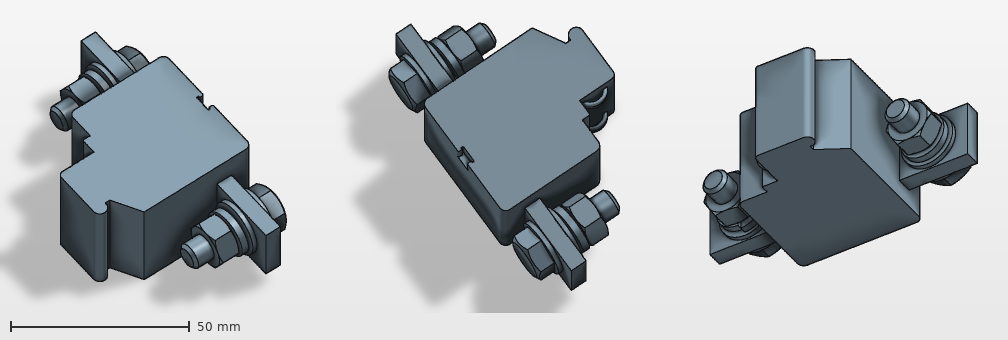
import cadquery as cq
import math


housing_width = 39.95
housing_height = 32.0
housing_depth = 49.0
housing_z_offset = 1.0
back_radius = 2.0
shoulder_y = -33.75
step_x = -10.2
step_y = -36.4
step_radius = 0.5
foot_x = -5.1
foot_radius = 1.5
slope_start_y = -37.8
slope_end_y = -42.9
hook_throat_x = 10.9
hook_tip_x = 13.4
hook_thickness = 4.4

groove_mouth = 4.25
groove_width = 5.35
groove_depth = 2.0
groove_lip = 1.4
groove_edge_radius = 0.4
groove_length = 5.1

wire_diameter = 1.4
ring_radius = 4.3
ring_center_x = -2.9
ring_center_y = -41.4
ring_pitch = 1.45
ring_pair_spacing = 22.3
ring_z_offset = 0.2

bar_length = 85.0
bar_height = 18.1
bar_thickness = 5.1
bar_back_y = -7.1

fastener_x = 30.0
shank_diameter = 8.0
shank_end_y = -30.4
shank_chamfer = 1.0
hex_flats = 13.0
head_top_diameter = 11.5
hex_chamfer_angle = 30.0
washer_diameter = 17.0
washer_thickness = 1.5
nut_thickness = 6.6
lock_outer_diameter = 14.8
lock_inner_diameter = 9.0
lock_thickness = 2.2
lock_gap = 3.6
lock_embed = 0.1
lock_start_angles = {-1: -90.0, 1: 180.0}

bar_front_y = bar_back_y - bar_thickness
head_front_y = bar_back_y + washer_thickness
lock_back_y = bar_front_y - washer_thickness
nut_back_y = lock_back_y - lock_gap
nut_front_y = nut_back_y - nut_thickness


def make_housing_block():
    """Extruded profile with the rail hook at its foot."""
    half_width = housing_width / 2
    hook_radius = hook_thickness / 2
    hook_center_x = hook_tip_x - hook_radius
    hook_back_y = -housing_depth + hook_thickness
    block = (
        cq.Workplane("XY")
        .workplane(offset=housing_z_offset - housing_height / 2)
        .moveTo(-half_width, 0)
        .lineTo(half_width, 0)
        .lineTo(half_width, slope_start_y)
        .lineTo(hook_throat_x, slope_end_y)
        .lineTo(hook_throat_x, hook_back_y)
        .lineTo(hook_center_x, hook_back_y)
        .threePointArc((hook_tip_x, hook_back_y - hook_radius), (hook_center_x, -housing_depth))
        .lineTo(foot_x, -housing_depth)
        .lineTo(foot_x, step_y)
        .lineTo(step_x, step_y)
        .lineTo(step_x, shoulder_y)
        .lineTo(-half_width, shoulder_y)
        .close()
        .extrude(housing_height)
    )
    rounded_corners = [
        (-half_width, 0, back_radius),
        (half_width, 0, back_radius),
        (-half_width, shoulder_y, back_radius),
        (step_x, step_y, step_radius),
        (foot_x, -housing_depth, foot_radius),
    ]
    for x, y, radius in rounded_corners:
        corner = cq.selectors.NearestToPointSelector((x, y, housing_z_offset))
        block = block.edges("|Z").edges(corner).fillet(radius)
    return block


def make_label_groove():
    """Undercut groove that opens on the back and the top and ends blind."""
    half_mouth = groove_mouth / 2
    half_width = groove_width / 2
    flared_half_mouth = half_mouth + groove_edge_radius
    top_z = housing_z_offset + housing_height / 2
    return (
        cq.Workplane("XY")
        .workplane(offset=top_z - groove_length)
        .moveTo(-flared_half_mouth, 0)
        .radiusArc((-half_mouth, -groove_edge_radius), groove_edge_radius)
        .lineTo(-half_mouth, -groove_lip)
        .lineTo(-half_width, -groove_lip)
        .lineTo(-half_width, -groove_depth)
        .lineTo(half_width, -groove_depth)
        .lineTo(half_width, -groove_lip)
        .lineTo(half_mouth, -groove_lip)
        .lineTo(half_mouth, -groove_edge_radius)
        .radiusArc((flared_half_mouth, 0), groove_edge_radius)
        .close()
        .extrude(groove_length)
    )


def make_ring(z):
    """Closed wire ring, mostly buried in the foot."""
    ring = cq.Solid.makeTorus(ring_radius, wire_diameter / 2, cq.Vector(ring_center_x, ring_center_y, z))
    return cq.Workplane(ring)


def make_bar():
    """Flat bar that stands out of both housing flanks."""
    bar_center_y = bar_back_y - bar_thickness / 2
    return cq.Workplane("XY").box(bar_length, bar_thickness, bar_height).translate((0, bar_center_y, 0))


def disc(diameter, back_y, length):
    """Cylinder on the fastener axis, running toward -Y from back_y."""
    return cq.Workplane("XZ", origin=(0, back_y, 0)).circle(diameter / 2).extrude(length)


def make_housing():
    """Housing block with its wire rings and the drilled contact bar moulded in."""
    housing = make_housing_block().cut(make_label_groove()).union(make_bar())
    for pair_side in (-1, 1):
        pair_z = ring_z_offset + pair_side * ring_pair_spacing / 2
        for ring_side in (-1, 1):
            housing = housing.union(make_ring(pair_z + ring_side * ring_pitch / 2))
    for side in (-1, 1):
        bolt_hole = disc(shank_diameter, bar_back_y, bar_thickness)
        housing = housing.cut(bolt_hole.translate((side * fastener_x, 0, 0)))
    return housing


def chamfer_cone(end_diameter, end_y, inward):
    """Solid of revolution that bounds a hexagon chamfered at end_y; inward is the Y sign into the hexagon."""
    flat_radius = end_diameter / 2
    reach = hex_flats
    drop = reach * math.tan(math.radians(hex_chamfer_angle))
    far_y = end_y + inward * (drop + hex_flats)
    return (
        cq.Workplane("XY")
        .moveTo(0, end_y)
        .lineTo(flat_radius, end_y)
        .lineTo(flat_radius + reach, end_y + inward * drop)
        .lineTo(flat_radius + reach, far_y)
        .lineTo(0, far_y)
        .close()
        .revolve(360, (0, 0, 0), (0, 1, 0))
    )


def hexagon(back_y, length, corner_angle):
    """Hexagonal prism toward -Y, with a corner at corner_angle from +X."""
    corner_diameter = hex_flats / math.cos(math.pi / 6)
    prism = cq.Workplane("XZ", origin=(0, back_y, 0)).polygon(6, corner_diameter).extrude(length)
    return prism.rotate((0, 0, 0), (0, 1, 0), corner_angle)


def make_lock_washer(start_angle):
    """One helical turn of rectangular section, from the flat washer to the nut."""
    mean_radius = (lock_outer_diameter + lock_inner_diameter) / 4
    section_width = (lock_outer_diameter - lock_inner_diameter) / 2
    pitch = lock_gap + 2 * lock_embed - lock_thickness
    helix = cq.Wire.makeHelix(pitch, pitch, mean_radius)
    turn = (
        cq.Workplane("XZ")
        .center(mean_radius, 0)
        .rect(section_width, lock_thickness)
        .sweep(cq.Workplane(helix), isFrenet=True)
    )
    start_y = lock_back_y + lock_embed - lock_thickness / 2
    return (
        turn.rotate((0, 0, 0), (0, 0, 1), start_angle)
        .rotate((0, 0, 0), (1, 0, 0), 90)
        .translate((0, start_y, 0))
    )


def make_fastener(side):
    """Bolt, two flat washers, split lock washer and nut, clamped on the bar."""
    shank = disc(shank_diameter, head_front_y, head_front_y - shank_end_y).faces("<Y").chamfer(shank_chamfer)
    head = hexagon(0, -head_front_y, 90).intersect(chamfer_cone(head_top_diameter, 0, -1))
    nut = hexagon(nut_back_y, nut_thickness, 0)
    nut = nut.intersect(chamfer_cone(hex_flats, nut_back_y, -1))
    nut = nut.intersect(chamfer_cone(hex_flats, nut_front_y, 1))
    fastener = shank.union(head).union(nut)
    for washer_back_y in (head_front_y, bar_front_y):
        fastener = fastener.union(disc(washer_diameter, washer_back_y, washer_thickness))
    fastener = fastener.union(make_lock_washer(lock_start_angles[side]))
    return fastener.translate((side * fastener_x, 0, 0))


housing = make_housing()
fasteners = [make_fastener(side) for side in (-1, 1)]
result = cq.Compound.makeCompound([body.solids().val() for body in (housing, *fasteners)])